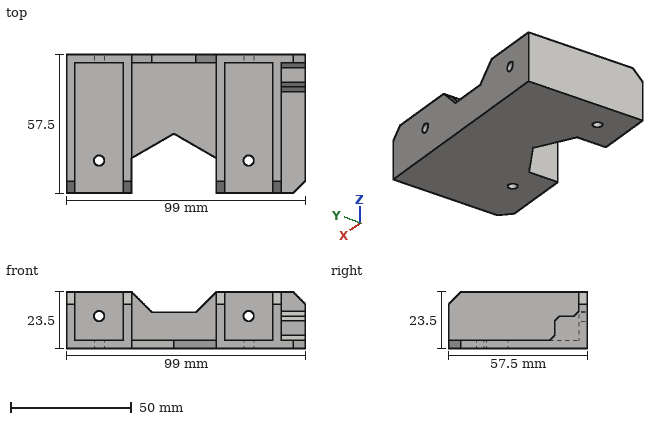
import cadquery as cq
import math

wall = 3.5
bay_width = 20.0
bay_gap = 35.0
flange_width = 10.0
depth = 57.5
height = 23.5
corner_chamfer = 5.0
hole_diameter = 4.2
hole_offset = 13.5
block_size = 10.0
block_chamfer = 2.0
notch_depth = 8.4
web_front = 14.5
web_angle = 30.0

bay_outer = bay_width + 2 * wall
bay_pitch = bay_outer + bay_gap
bay_starts = [0.0, bay_pitch]
flange_start = bay_pitch + bay_outer
length = flange_start + flange_width
back_face = depth - wall
web_middle = bay_outer + bay_gap / 2
web_peak = web_front + bay_gap / 2 * math.tan(math.radians(web_angle))


def box(x, y, z, size_x, size_y, size_z):
    """Box with its lowest corner at (x, y, z)."""
    return cq.Workplane("XY").box(size_x, size_y, size_z, centered=False).translate((x, y, z))


def extrude_along_x(profile, x, width):
    """Extrude a closed (y, z) profile along +X from x."""
    return cq.Workplane("YZ").workplane(offset=x).polyline(profile).close().extrude(width)


def side_wall(x):
    """Side wall of a bay with a chamfered top front tip."""
    profile = [
        (0, 0),
        (depth, 0),
        (depth, height),
        (corner_chamfer, height),
        (0, height - corner_chamfer),
    ]
    return extrude_along_x(profile, x, wall)


def floor_plate():
    """Floor under both bays, the web and the flange."""
    outline = [
        (0, 0),
        (bay_outer, 0),
        (bay_outer, web_front),
        (web_middle, web_peak),
        (bay_pitch, web_front),
        (bay_pitch, 0),
        (length - corner_chamfer, 0),
        (length, corner_chamfer),
        (length, depth),
        (0, depth),
    ]
    return cq.Workplane("XY").polyline(outline).close().extrude(wall)


def back_wall():
    """Back wall with the notch between the bays and a chamfered outer corner."""
    outline = [
        (0, 0),
        (length, 0),
        (length, height - corner_chamfer),
        (length - corner_chamfer, height),
        (bay_pitch, height),
        (bay_pitch - notch_depth, height - notch_depth),
        (bay_outer + notch_depth, height - notch_depth),
        (bay_outer, height),
        (0, height),
    ]
    return cq.Workplane("XZ", origin=(0, depth, 0)).polyline(outline).close().extrude(wall)


def flange_block():
    """Block in the corner of flange and back wall, with sloped transitions."""
    front = back_face - block_size
    top = wall + block_size
    profile = [
        (back_face, wall),
        (front - block_chamfer, wall),
        (front, wall + block_chamfer),
        (front, top - block_chamfer),
        (front + block_chamfer, top),
        (back_face - block_chamfer, top),
        (back_face, top + block_chamfer),
    ]
    return extrude_along_x(profile, flange_start, flange_width)


def bay_holes(x):
    """Cutters for one hole in the floor and one in the back wall of a bay."""
    radius = hole_diameter / 2
    floor_hole = cq.Workplane("XY", origin=(x, hole_offset, 0)).circle(radius).extrude(wall)
    back_hole = cq.Workplane("XZ", origin=(x, depth, hole_offset)).circle(radius).extrude(wall)
    return floor_hole.union(back_hole)


result = floor_plate().union(back_wall()).union(flange_block())
for start in bay_starts:
    result = result.union(side_wall(start))
    result = result.union(side_wall(start + bay_outer - wall))
for start in bay_starts:
    result = result.cut(bay_holes(start + bay_outer / 2))